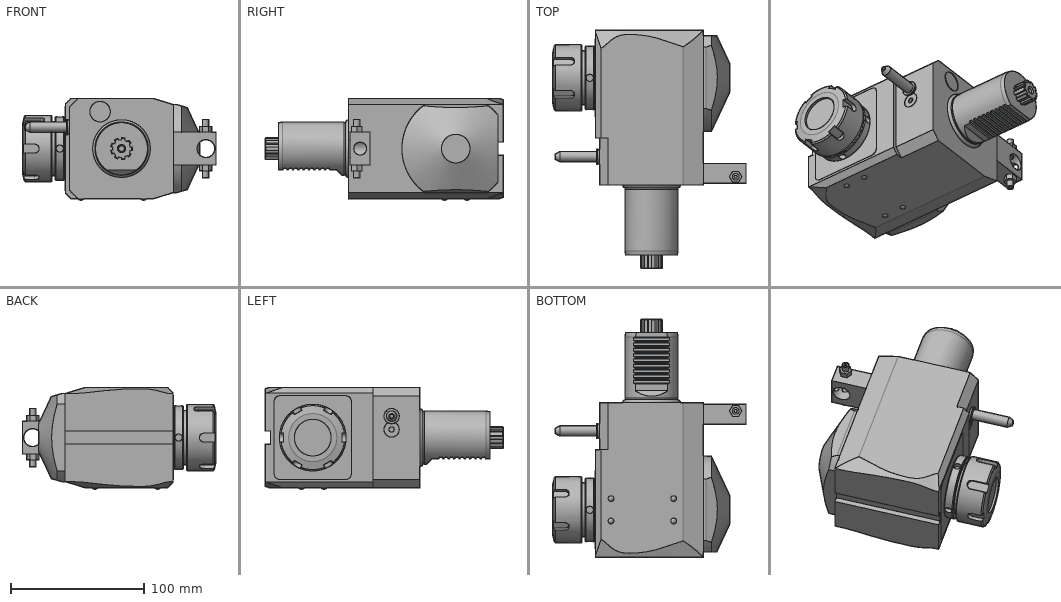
import cadquery as cq


HOUSING_LENGTH = 116.4
HALF_HEIGHT = 37.8
HOUSING_RIGHT = 39.0
FRONT_LEFT = -39.0
REAR_LEFT = -42.2
STEP_Y = 35.3
FRONT_CHAMFER = 6.5
REAR_CHAMFER = 4.3
TAPER_START_X = 23.8
TAPER_DROP = 4.7
CROWN_RUN = 16.1
CROWN_SLOPE = 0.33
CROWN_EDGE_Z = 33.1
CROWN_SHAPE = [(-38.0, 33.3), (-29.7, 35.5), (-13.8, 36.7), (6.0, 35.6), (23.6, 33.7)]
KEYWAY_WIDTH = 9.8
KEYWAY_DEPTH = 4.0
PLUG_RADIUS = 7.7
PLUG_X = -16.1
PLUG_Z = 27.7
PLUG_RECESS = 0.5

SPINDLE_Y = 80.5
COVER_WIDTH = 58.0
COVER_HEIGHT = 63.0
COVER_CORNER = 4.5
COVER_RAISE = 0.09
COLLAR_RADIUS = 24.0
COLLAR_BACK = -42.8
COLLAR_FRONT = -50.0
NECK_RADIUS = 20.4
NUT_RADIUS = 25.0
NUT_BACK = -52.3
NUT_FRONT = -74.5
NUT_RIM_DROP = 2.3
NUT_CONE_DROP = 1.3
NUT_CONE_RADIUS = 24.0
NUT_FACE_RADIUS = 18.0
NUT_BORE_RADIUS = 13.8
NUT_BORE_DEPTH = 1.8
EDGE_BREAK = 0.7
NUT_SLOTS = 6
NUT_SLOT_WIDTH = 6.6
NUT_SLOT_END = -62.0
NUT_LONG_SLOT_END = -57.8
NUT_LONG_SLOT_ANGLES = (30, 330)
NUT_SLOT_FLOOR = 21.8
COLLAR_HOLES = 4
COLLAR_HOLE_RADIUS = 2.7
COLLAR_HOLE_DEPTH = 3.5

CAP_RADIUS = 40.5
CAP_RIM_X = 45.0
CAP_END_X = 58.9
CAP_END_RADIUS = 10.7
CAP_BACK_Y = 112.2
CAP_FLAT_Z = 33.3
CAP_FLAT_END_X = 41.0
CAP_FLAT_SLOPE = 0.29

LUG_RIGHT = 71.0
LUG_HALF_HEIGHT = 12.4
LUG_FRONT_Y = 1.3
LUG_BACK_Y = 16.3
LUG_HOLE_X = 63.4
LUG_HOLE_RADIUS = 6.6
END_HOLE_RADIUS = 4.8
SCREW_X = 63.2
SCREW_Y = 6.3
SCREW_RADIUS = 2.5
SCREW_END_Z = 22.0
SCREW_TIP_Z = 7.5
SCREW_SOCKET = 2.5
SCREW_SOCKET_DEPTH = 1.8
LOCKNUT_CORNERS = 9.3
LOCKNUT_TOP_Z = 16.6

NOZZLE_Y = 21.3
TUBE_Z = 16.1
TUBE_RADIUS = 4.0
TUBE_TIP_X = -72.3
TUBE_TIP_RADIUS = 2.0
TUBE_TIP_TAPER = 3.4
TUBE_BORE_RADIUS = 1.5
TUBE_FLANGE_RADIUS = 5.7
TUBE_FLANGE_ROOT_RADIUS = 5.0
TUBE_FLANGE_X = -41.3
TUBE_FLANGE_RIM = 0.7
BLANK_Z = 6.0
BLANK_RADIUS = 5.7
BLANK_RAISE = 0.2
BLANK_HOLE_RADIUS = 2.0
BLANK_HOLE_DEPTH = 2.7

SHANK_RADIUS = 20.0
SHANK_END_Y = -52.6
SHANK_LEAD_LENGTH = 3.2
SHANK_LEAD_DROP = 0.5
SHANK_COLLAR_RADIUS = 21.7
SHANK_COLLAR_LENGTH = 2.1
SHANK_NECK_RADIUS = 19.7
SHANK_NECK_END_Y = -3.4
FLAT_Z = -16.0
FLAT_START_Y = -9.0
TOOTH_PITCH = 4.01
TOOTH_HEIGHT = 1.0
TOOTH_BASE = 2.1
TOOTH_TIP = 0.7
FIRST_TOOTH_Y = -13.6
TOOTH_GAPS = 9

SPLINE_END_Y = -62.6
SPLINE_TEETH = 9
SPLINE_RADIUS = 8.2
SPLINE_ROOT_RADIUS = 6.6
SPLINE_TOOTH_WIDTH = 2.7
SPLINE_CHAMFER = 0.5
CENTER_HOLE_RADIUS = 2.1
CENTER_HOLE_DEPTH = 5.4
COUNTERSINK_RADIUS = 3.0

STUD_XS = (-30.5, 16.6)
STUD_OFFSET_Y = 8.5
STUD_RADIUS = 2.1
STUD_HEIGHT = 1.0
STUD_EMBED = 1.8


def revolved_about_x(outline, y, z):
    """Turn an (x, radius) outline about the line through (y, z) parallel to X."""
    turned = cq.Workplane("XY").polyline(outline).close().revolve(360, (0, 0, 0), (1, 0, 0))
    return turned.translate((0, y, z))


def revolved_about_y(outline):
    """Turn a (radius, y) outline about the Y axis."""
    return cq.Workplane("XY").polyline(outline).close().revolve(360, (0, 0, 0), (0, 1, 0))


def prism_along_y(outline, start_y, end_y):
    """Extrude an (x, z) outline from start_y to end_y."""
    base = cq.Workplane("XZ", origin=(0, start_y, 0)).polyline(outline).close()
    return base.extrude(start_y - end_y)


def mirrored_in_z(solid):
    return solid.union(solid.mirror("XY"))


def housing_section(left, chamfer):
    upper = [
        (left, HALF_HEIGHT - chamfer),
        (left + chamfer, HALF_HEIGHT),
        (TAPER_START_X, HALF_HEIGHT),
        (HOUSING_RIGHT, HALF_HEIGHT - TAPER_DROP),
    ]
    return upper + [(x, -z) for x, z in reversed(upper)]


def crown_cutter():
    """Waste above the sloping, arched rear end of the housing top."""
    clear = 9.0
    top = HALF_HEIGHT + clear
    left = REAR_LEFT - clear
    right = HOUSING_RIGHT + clear
    outline = (
        cq.Workplane("XZ", origin=(0, HOUSING_LENGTH, 0))
        .moveTo(left, CROWN_EDGE_Z)
        .lineTo(REAR_LEFT, CROWN_EDGE_Z)
        .spline(CROWN_SHAPE + [(HOUSING_RIGHT, CROWN_EDGE_Z)], includeCurrent=True)
        .lineTo(right, CROWN_EDGE_Z)
        .lineTo(right, top)
        .lineTo(left, top)
        .close()
    )
    rise = cq.Vector(0, -CROWN_RUN, CROWN_SLOPE * CROWN_RUN)
    return cq.Workplane(cq.Solid.extrudeLinear(outline.val(), [], rise))


def housing():
    front = prism_along_y(housing_section(FRONT_LEFT, FRONT_CHAMFER), 0, STEP_Y)
    rear = prism_along_y(housing_section(REAR_LEFT, REAR_CHAMFER), STEP_Y, HOUSING_LENGTH)
    body = front.union(rear)
    crown = crown_cutter()
    body = body.cut(crown).cut(crown.mirror("XY"))
    keyway = cq.Workplane("XY").box(4 * HOUSING_RIGHT, 2 * KEYWAY_DEPTH, KEYWAY_WIDTH)
    body = body.cut(keyway.translate((0, HOUSING_LENGTH, 0)))
    plug = cq.Workplane("XZ").center(PLUG_X, PLUG_Z).circle(PLUG_RADIUS).extrude(-PLUG_RECESS)
    return body.cut(plug)


def cover_plate():
    plate = cq.Workplane("YZ", origin=(REAR_LEFT, SPINDLE_Y, 0)).rect(COVER_WIDTH, COVER_HEIGHT)
    return plate.extrude(-COVER_RAISE).edges("|X").fillet(COVER_CORNER)


def nut_slot(end_x):
    """One wrench slot with a round inner end, cut down from the top of the nut."""
    clear = 3.5
    slot_radius = NUT_SLOT_WIDTH / 2
    start_x = NUT_FRONT - clear
    arc_x = end_x - slot_radius
    slot = (
        cq.Workplane("XY", origin=(0, 0, NUT_SLOT_FLOOR))
        .moveTo(start_x, -slot_radius)
        .lineTo(arc_x, -slot_radius)
        .threePointArc((end_x, 0), (arc_x, slot_radius))
        .lineTo(start_x, slot_radius)
        .close()
    )
    return slot.extrude(NUT_RADIUS)


def clamping_nut():
    outline = [
        (REAR_LEFT, 0),
        (REAR_LEFT, NECK_RADIUS),
        (COLLAR_BACK, NECK_RADIUS),
        (COLLAR_BACK, COLLAR_RADIUS - EDGE_BREAK),
        (COLLAR_BACK - EDGE_BREAK, COLLAR_RADIUS),
        (COLLAR_FRONT + EDGE_BREAK, COLLAR_RADIUS),
        (COLLAR_FRONT, COLLAR_RADIUS - EDGE_BREAK),
        (COLLAR_FRONT, NECK_RADIUS),
        (NUT_BACK, NECK_RADIUS),
        (NUT_BACK, NUT_RADIUS - EDGE_BREAK),
        (NUT_BACK - EDGE_BREAK, NUT_RADIUS),
        (NUT_FRONT + NUT_RIM_DROP, NUT_RADIUS),
        (NUT_FRONT + NUT_CONE_DROP, NUT_CONE_RADIUS),
        (NUT_FRONT, NUT_FACE_RADIUS),
        (NUT_FRONT, NUT_BORE_RADIUS),
        (NUT_FRONT + NUT_BORE_DEPTH, NUT_BORE_RADIUS),
        (NUT_FRONT + NUT_BORE_DEPTH, 0),
    ]
    nut = revolved_about_x(outline, 0, 0)
    slot_pitch = 360 // NUT_SLOTS
    for angle in range(slot_pitch // 2, 360, slot_pitch):
        end_x = NUT_LONG_SLOT_END if angle in NUT_LONG_SLOT_ANGLES else NUT_SLOT_END
        nut = nut.cut(nut_slot(end_x).rotate((0, 0, 0), (1, 0, 0), angle))
    hole_x = (COLLAR_BACK + COLLAR_FRONT) / 2
    hole_floor = COLLAR_RADIUS - COLLAR_HOLE_DEPTH
    hole = cq.Workplane("XY", origin=(hole_x, 0, hole_floor)).circle(COLLAR_HOLE_RADIUS)
    hole = hole.extrude(2 * COLLAR_HOLE_DEPTH)
    for i in range(COLLAR_HOLES):
        nut = nut.cut(hole.rotate((0, 0, 0), (1, 0, 0), i * 360 / COLLAR_HOLES))
    return nut.translate((0, SPINDLE_Y, 0))


def rear_cap():
    outline = [
        (HOUSING_RIGHT, 0),
        (HOUSING_RIGHT, CAP_RADIUS),
        (CAP_RIM_X, CAP_RADIUS),
        (CAP_END_X, CAP_END_RADIUS),
        (CAP_END_X, 0),
    ]
    cap = revolved_about_x(outline, SPINDLE_Y, 0)
    end_z = CAP_FLAT_Z - CAP_FLAT_SLOPE * (CAP_END_X - CAP_FLAT_END_X)
    upper = [(HOUSING_RIGHT, CAP_FLAT_Z), (CAP_FLAT_END_X, CAP_FLAT_Z), (CAP_END_X, end_z)]
    envelope = upper + [(x, -z) for x, z in reversed(upper)]
    return cap.intersect(prism_along_y(envelope, SPINDLE_Y - CAP_RADIUS, CAP_BACK_Y))


def screw_and_locknut():
    """Upper set screw with its lock nut."""
    screw = cq.Workplane("XY", origin=(SCREW_X, SCREW_Y, SCREW_TIP_Z)).circle(SCREW_RADIUS)
    screw = screw.extrude(SCREW_END_Z - SCREW_TIP_Z)
    nut = cq.Workplane("XY", origin=(SCREW_X, SCREW_Y, LUG_HALF_HEIGHT)).polygon(6, LOCKNUT_CORNERS)
    socket = cq.Workplane("XY", origin=(SCREW_X, SCREW_Y, SCREW_END_Z)).polygon(6, SCREW_SOCKET)
    joined = screw.union(nut.extrude(LOCKNUT_TOP_Z - LUG_HALF_HEIGHT))
    return joined.cut(socket.extrude(-SCREW_SOCKET_DEPTH))


def clamp_lug():
    outline = [
        (HOUSING_RIGHT, -LUG_HALF_HEIGHT),
        (LUG_RIGHT, -LUG_HALF_HEIGHT),
        (LUG_RIGHT, LUG_HALF_HEIGHT),
        (HOUSING_RIGHT, LUG_HALF_HEIGHT),
    ]
    lug = prism_along_y(outline, LUG_FRONT_Y, LUG_BACK_Y)
    cross_hole = cq.Workplane("XZ").center(LUG_HOLE_X, 0).circle(LUG_HOLE_RADIUS).extrude(-2 * LUG_BACK_Y)
    screw_hole = cq.Workplane("XY").center(SCREW_X, SCREW_Y).circle(SCREW_RADIUS)
    lug = lug.cut(cross_hole).cut(screw_hole.extrude(SCREW_TIP_Z, both=True))
    middle_y = (LUG_FRONT_Y + LUG_BACK_Y) / 2
    end_hole = cq.Workplane("YZ", origin=(LUG_RIGHT, middle_y, 0)).circle(END_HOLE_RADIUS)
    lug = lug.cut(end_hole.extrude(LUG_HOLE_X - LUG_RIGHT))
    return lug.union(mirrored_in_z(screw_and_locknut()))


def coolant_tube():
    outline = [
        (FRONT_LEFT, 0),
        (FRONT_LEFT, TUBE_FLANGE_ROOT_RADIUS),
        (TUBE_FLANGE_X + TUBE_FLANGE_RIM, TUBE_FLANGE_RADIUS),
        (TUBE_FLANGE_X, TUBE_FLANGE_RADIUS),
        (TUBE_FLANGE_X, TUBE_RADIUS),
        (TUBE_TIP_X + TUBE_TIP_TAPER, TUBE_RADIUS),
        (TUBE_TIP_X, TUBE_TIP_RADIUS),
        (TUBE_TIP_X, TUBE_BORE_RADIUS),
        (TUBE_FLANGE_X, TUBE_BORE_RADIUS),
        (TUBE_FLANGE_X, 0),
    ]
    return revolved_about_x(outline, NOZZLE_Y, TUBE_Z)


def blank_nozzle(body):
    seat = cq.Workplane("YZ", origin=(FRONT_LEFT, NOZZLE_Y, BLANK_Z))
    body = body.union(seat.circle(BLANK_RADIUS).extrude(-BLANK_RAISE))
    return body.cut(seat.circle(BLANK_HOLE_RADIUS).extrude(BLANK_HOLE_DEPTH, both=True))


def tooth_gap():
    """Trapezoidal gap between two teeth of the clamping flat, centred on Y = 0."""
    floor_half = (TOOTH_PITCH - TOOTH_BASE) / 2
    mouth_half = (TOOTH_PITCH - TOOTH_TIP) / 2
    floor_z = FLAT_Z + TOOTH_HEIGHT
    outline = [(-mouth_half, FLAT_Z), (-floor_half, floor_z), (floor_half, floor_z), (mouth_half, FLAT_Z)]
    return cq.Workplane("YZ").polyline(outline).close().extrude(SHANK_RADIUS, both=True)


def shank():
    collar_rounding = SHANK_COLLAR_RADIUS - SHANK_NECK_RADIUS
    turned = (
        cq.Workplane("XY")
        .lineTo(SHANK_COLLAR_RADIUS, 0)
        .lineTo(SHANK_COLLAR_RADIUS, collar_rounding - SHANK_COLLAR_LENGTH)
        .radiusArc((SHANK_NECK_RADIUS, -SHANK_COLLAR_LENGTH), collar_rounding)
        .lineTo(SHANK_NECK_RADIUS, SHANK_NECK_END_Y)
        .lineTo(SHANK_RADIUS, SHANK_NECK_END_Y)
        .lineTo(SHANK_RADIUS, SHANK_END_Y + SHANK_LEAD_LENGTH)
        .lineTo(SHANK_RADIUS - SHANK_LEAD_DROP, SHANK_END_Y)
        .lineTo(0, SHANK_END_Y)
        .close()
        .revolve(360, (0, 0, 0), (0, 1, 0))
    )
    run_out = SHANK_RADIUS
    waste = [
        (SHANK_END_Y, FLAT_Z),
        (FLAT_START_Y, FLAT_Z),
        (FLAT_START_Y + run_out, FLAT_Z - run_out),
        (SHANK_END_Y, FLAT_Z - run_out),
    ]
    turned = turned.cut(cq.Workplane("YZ").polyline(waste).close().extrude(SHANK_COLLAR_RADIUS, both=True))
    for i in range(TOOTH_GAPS):
        gap_y = FIRST_TOOTH_Y - (i + 0.5) * TOOTH_PITCH
        turned = turned.cut(tooth_gap().translate((0, gap_y, 0)))
    return turned


def spline_end():
    """Drive end with radial teeth, chamfered tip and countersunk centre hole."""
    length = SHANK_END_Y - SPLINE_END_Y
    plane = cq.Workplane("XZ", origin=(0, SHANK_END_Y, 0))
    teeth = plane.circle(SPLINE_ROOT_RADIUS).extrude(length)
    tooth = plane.center(SPLINE_RADIUS / 2, 0).rect(SPLINE_RADIUS, SPLINE_TOOTH_WIDTH).extrude(length)
    for i in range(SPLINE_TEETH):
        teeth = teeth.union(tooth.rotate((0, 0, 0), (0, 1, 0), i * 360 / SPLINE_TEETH))
    sink_depth = COUNTERSINK_RADIUS - CENTER_HOLE_RADIUS
    envelope = [
        (0, SHANK_END_Y),
        (SPLINE_RADIUS, SHANK_END_Y),
        (SPLINE_RADIUS, SPLINE_END_Y + SPLINE_CHAMFER),
        (SPLINE_RADIUS - SPLINE_CHAMFER, SPLINE_END_Y),
        (COUNTERSINK_RADIUS, SPLINE_END_Y),
        (CENTER_HOLE_RADIUS, SPLINE_END_Y + sink_depth),
        (CENTER_HOLE_RADIUS, SPLINE_END_Y + CENTER_HOLE_DEPTH),
        (0, SPLINE_END_Y + CENTER_HOLE_DEPTH),
    ]
    return teeth.intersect(revolved_about_y(envelope))


def stud():
    """Round-tipped stud standing out of the housing underside."""
    tip_radius = (STUD_RADIUS**2 + STUD_HEIGHT**2) / (2 * STUD_HEIGHT)
    profile = (
        cq.Workplane("XZ")
        .moveTo(0, STUD_EMBED)
        .lineTo(STUD_RADIUS, STUD_EMBED)
        .lineTo(STUD_RADIUS, 0)
        .radiusArc((0, -STUD_HEIGHT), tip_radius)
        .close()
    )
    return profile.revolve(360, (0, 0, 0), (0, 1, 0))


result = housing()
spindle_parts = [cover_plate(), clamping_nut(), rear_cap()]
front_parts = [clamp_lug(), coolant_tube(), shank(), spline_end()]
for feature in spindle_parts + front_parts:
    result = result.union(feature)
result = blank_nozzle(result)
for stud_x in STUD_XS:
    for stud_y in (SPINDLE_Y - STUD_OFFSET_Y, SPINDLE_Y + STUD_OFFSET_Y):
        result = result.union(stud().translate((stud_x, stud_y, -HALF_HEIGHT)))